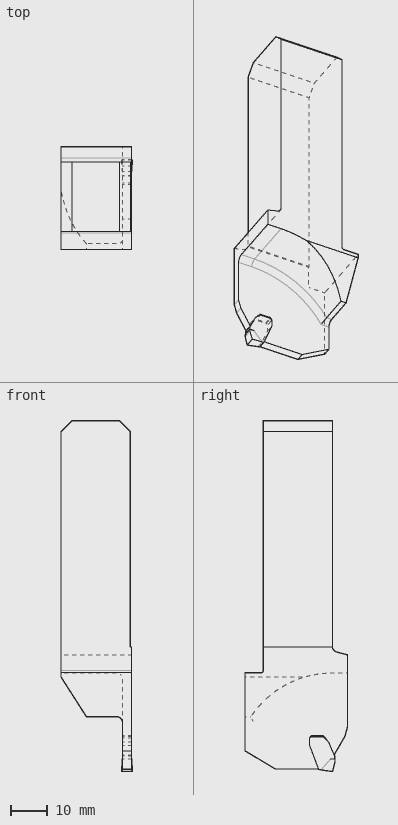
import cadquery as cq
import math

total_length = 96.0
head_depth = 28.12
shank_size = 19.0
side_pad = 0.3
head_width = shank_size + side_pad

shank_front = 5.0
shank_back = shank_front + shank_size
shank_end_chamfer = 3.0
pad_top = 34.15

ledge_height = 27.1
ledge_fillet = 0.5
shoulder_height = 31.95
shoulder_angle = 15.0
shoulder_fillet = 1.4
head_bottom = 0.7
back_corner_height = 12.3
back_mid_y = 27.4
back_mid_height = 9.7
back_bottom_y = 22.24
front_corner_height = 5.7
front_corner_run = 8.35

blade_width = 2.5
blade_face = head_width - blade_width
clearance_ceiling = 27.0
clearance_low = 15.0
clearance_arc_end = 1.6
clearance_fillet = 1.6
side_slope_top = 25.85
side_slope_run = 6.95

insert_overhang = 0.25
insert_top = 9.6
insert_top_back_y = 21.4
insert_top_front_y = 18.2
insert_front_y = 17.75
insert_front_high = 9.2
insert_front_low = 7.1
insert_foot = (20.2, 0.6)
insert_heel = (20.8, 0.45)
insert_tip_y = 24.0
rake_edge = (24.67, 2.6)
rake_top = (24.6, 4.3)
back_notch = (24.05, 5.4)
back_bend = (22.9, 8.1)
flare_top = 3.4
flare_corner_y = 23.4
seat_gap = 0.25

overshoot = 5.0


def extrude_profile(sketch, x_start, x_end):
    """Extrude a closed YZ outline from x_start to x_end."""
    return sketch.extrude(x_end - x_start).translate((x_start, 0, 0))


def make_shank():
    """Square shank, chamfered on both sides of its upper end."""
    shank = (
        cq.Workplane("XY")
        .box(shank_size, shank_size, total_length - ledge_height, centered=False)
        .translate((0, shank_front, ledge_height))
    )
    return shank.faces(">Z").edges("|Y").chamfer(shank_end_chamfer)


def make_head():
    """Full-width head with a flat ledge on -Y and a sloping shoulder on +Y."""
    shoulder_rise = (head_depth - shank_back) * math.tan(math.radians(shoulder_angle))
    shoulder_root = shoulder_height + shoulder_rise
    outline = (
        cq.Workplane("YZ")
        .moveTo(0, front_corner_height)
        .lineTo(0, ledge_height)
        .lineTo(shank_front, ledge_height)
        .lineTo(shank_front, pad_top)
        .lineTo(shank_back, pad_top)
        .lineTo(shank_back, shoulder_root)
        .lineTo(head_depth, shoulder_height)
        .lineTo(head_depth, back_corner_height)
        .lineTo(back_mid_y, back_mid_height)
        .lineTo(back_bottom_y, head_bottom)
        .lineTo(front_corner_run, head_bottom)
        .close()
    )
    head = extrude_profile(outline, 0, head_width)
    ledge_corner = (head_width / 2, shank_front, ledge_height)
    shoulder_corner = (head_width / 2, shank_back, shoulder_root)
    head = head.edges(cq.NearestToPointSelector(ledge_corner)).fillet(ledge_fillet)
    return head.edges(cq.NearestToPointSelector(shoulder_corner)).fillet(shoulder_fillet)


def make_clearance():
    """Volume swept away beside the blade: arched ceiling, rounded where it meets the blade."""
    arc_run = shank_back - clearance_arc_end
    arc_drop = clearance_ceiling - clearance_low
    radius = (arc_run**2 + arc_drop**2) / (2 * arc_drop)
    half_angle = math.asin(arc_run / radius) / 2
    arc_mid = (
        shank_back - radius * math.sin(half_angle),
        clearance_ceiling - radius * (1 - math.cos(half_angle)),
    )
    outline = (
        cq.Workplane("YZ")
        .moveTo(-overshoot, -overshoot)
        .lineTo(-overshoot, clearance_low)
        .lineTo(clearance_arc_end, clearance_low)
        .threePointArc(arc_mid, (shank_back, clearance_ceiling))
        .lineTo(head_depth + overshoot, clearance_ceiling)
        .lineTo(head_depth + overshoot, -overshoot)
        .close()
    )
    clearance = extrude_profile(outline, -overshoot, blade_face)
    margin = 1.0
    ceiling_rim = cq.selectors.BoxSelector(
        (blade_face - margin, -overshoot + margin, clearance_low - margin),
        (blade_face + margin, head_depth + overshoot - margin, clearance_ceiling + margin),
    )
    return clearance.edges(ceiling_rim).fillet(clearance_fillet)


def make_side_slope():
    """Wedge removed from the -X side under the shank."""
    return (
        cq.Workplane("XZ")
        .moveTo(0, side_slope_top)
        .lineTo(side_slope_run, clearance_low)
        .lineTo(0, clearance_low)
        .close()
        .extrude(-head_depth)
    )


def make_insert_shank(top):
    """Blade-thick body of the insert; top is the height of its flat upper end."""
    outline = (
        cq.Workplane("YZ")
        .moveTo(insert_tip_y, 0)
        .lineTo(*rake_edge)
        .lineTo(*rake_top)
        .lineTo(*back_notch)
        .lineTo(*back_bend)
        .lineTo(insert_top_back_y, top)
        .lineTo(insert_top_front_y, top)
        .lineTo(insert_front_y, insert_front_high)
        .lineTo(insert_front_y, insert_front_low)
        .lineTo(*insert_foot)
        .lineTo(*insert_heel)
        .close()
    )
    return extrude_profile(outline, blade_face, head_width)


def make_cutting_head():
    """Cutting end, flush with the blade along a diagonal and flaring to full width at the tip."""
    x_low = blade_face - insert_overhang
    x_high = head_width + insert_overhang
    outline = (
        cq.Workplane("YZ")
        .moveTo(insert_tip_y, 0)
        .lineTo(*rake_edge)
        .lineTo(rake_edge[0], flare_top)
        .lineTo(flare_corner_y, flare_top)
        .lineTo(*insert_heel)
        .close()
    )
    heel_y, heel_z = insert_heel
    run = flare_corner_y - heel_y
    rise = flare_top - heel_z
    diagonal = math.hypot(run, rise)
    tip_reach = ((insert_tip_y - heel_y) * rise + heel_z * run) / diagonal
    across_diagonal = cq.Plane(origin=(0, heel_y, heel_z), xDir=(1, 0, 0), normal=(0, run, rise))
    flare = (
        cq.Workplane(across_diagonal)
        .moveTo(blade_face, 0)
        .lineTo(head_width, 0)
        .lineTo(x_high, tip_reach)
        .lineTo(x_low, tip_reach)
        .close()
        .extrude(2 * diagonal)
    )
    return extrude_profile(outline, x_low, x_high).intersect(flare)


insert = make_insert_shank(insert_top).union(make_cutting_head())
seat = make_insert_shank(insert_top + seat_gap)
holder = make_shank().union(make_head())
holder = holder.cut(make_clearance()).cut(make_side_slope()).cut(seat)

result = cq.Compound.makeCompound([holder.val(), insert.val()])